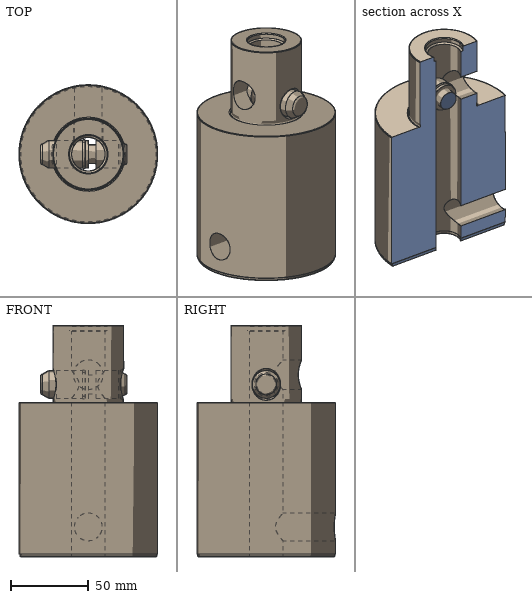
import cadquery as cq
import math

total_height = 150.0
drum_radius = 45.0
drum_top = 100.0
drum_edge_chamfer = 0.5
neck_radius = 23.0
neck_edge_chamfer = 0.5
bore_radius = 10.8
mouth_radius = 12.2
mouth_depth = 3.3
mouth_edge_chamfer = 0.6
bore_shoulder_height = 0.8

relief_depth = 0.3
relief_height = 2.2
relief_reach = 1.0
relief_lead = 2.0
relief_root_run = 0.6

neck_hole_radius = 9.6
neck_hole_height = 118.0
drum_hole_radius = 9.0
drum_hole_height = 19.5

plate_radius = 44.4
plate_thickness = 2.0
plate_chamfer = 0.6

pin_height = 111.8
pin_radius = 9.0
pin_left = -30.9
pin_right = 25.0
pin_tip_radius = 5.1
pin_tip_length = 1.4
pin_cone_radius = 6.8
pin_cone_length = 3.3
pin_shoulder_length = 0.9
pin_shoulder_drop = 0.3

pin_hole_flare = 1.4
pin_hole_flare_depth = 2.4

release_radius = 6.2
release_start = 0.0
release_width = 5.0
release_root_fillet = 0.5

o_ring_outer_radius = 9.5
o_ring_section_radius = 0.9
o_ring_position = -2.8


def radial_hole(radius, height):
    """Cylinder from the Z axis out through the +Y side."""
    return cq.Workplane("XZ", origin=(0, 0, height)).circle(radius).extrude(-drum_radius)


def make_housing():
    side_plane = cq.Plane(origin=(0, 0, 0), xDir=(-1, 0, 0), normal=(0, 1, 0))
    neck_relief_radius = neck_radius - relief_depth
    relief_floor = drum_top - relief_depth
    cone_top = drum_top + relief_height
    root_start = (neck_relief_radius, cone_top - relief_lead)
    root_end = (neck_relief_radius + relief_root_run, relief_floor)
    root_height = root_start[1] - relief_floor
    root_mid = (
        root_end[0] - relief_root_run * math.sqrt(0.5),
        root_start[1] - root_height * math.sqrt(0.5),
    )
    mouth_bottom = total_height - mouth_depth
    profile = (
        cq.Workplane(side_plane)
        .moveTo(bore_radius, plate_thickness)
        .lineTo(drum_radius, plate_thickness)
        .lineTo(drum_radius, drum_top - drum_edge_chamfer)
        .lineTo(drum_radius - drum_edge_chamfer, drum_top)
        .lineTo(neck_radius + relief_reach, drum_top)
        .lineTo(*root_end)
        .threePointArc(root_mid, root_start)
        .lineTo(neck_radius, cone_top)
        .lineTo(neck_radius, total_height - neck_edge_chamfer)
        .lineTo(neck_radius - neck_edge_chamfer, total_height)
        .lineTo(mouth_radius + mouth_edge_chamfer, total_height)
        .lineTo(mouth_radius, total_height - mouth_edge_chamfer)
        .lineTo(mouth_radius, mouth_bottom)
        .lineTo(bore_radius, mouth_bottom - bore_shoulder_height)
        .close()
    )
    housing = profile.revolve(360, (0, 0, 0), (0, 1, 0))
    housing = housing.cut(radial_hole(neck_hole_radius, neck_hole_height))
    housing = housing.cut(radial_hole(drum_hole_radius, drum_hole_height))
    return housing.cut(make_pin_hole())


def make_pin_hole():
    """Cross hole for the pin, flared where it leaves the neck on either side."""
    flare_radius = pin_radius + pin_hole_flare
    flare_inner = neck_radius - pin_hole_flare_depth
    return (
        cq.Workplane("XY", origin=(0, 0, pin_height))
        .moveTo(-neck_radius, 0)
        .lineTo(-neck_radius, flare_radius)
        .lineTo(-flare_inner, pin_radius)
        .lineTo(flare_inner, pin_radius)
        .lineTo(neck_radius, flare_radius)
        .lineTo(neck_radius, 0)
        .close()
        .revolve(360, (0, 0, 0), (1, 0, 0))
    )


def make_base_plate():
    plate = cq.Workplane("XY").circle(plate_radius).extrude(plate_thickness)
    plate = plate.faces("<Z").edges().chamfer(plate_chamfer)
    return plate.cut(cq.Workplane("XY").circle(bore_radius).extrude(plate_thickness))


def make_release_groove():
    """Ring to cut from the pin, with its inner corners rounded."""
    return (
        cq.Workplane("YZ", origin=(release_start, 0, pin_height))
        .circle(pin_radius)
        .circle(release_radius)
        .extrude(release_width)
        .edges(cq.selectors.RadiusNthSelector(0))
        .fillet(release_root_fillet)
    )


def make_o_ring():
    return (
        cq.Workplane("XZ", origin=(0, 0, pin_height))
        .moveTo(o_ring_position, o_ring_outer_radius - o_ring_section_radius)
        .circle(o_ring_section_radius)
        .revolve(360, (0, 0, 0), (1, 0, 0))
    )


def make_pin():
    cone_start = pin_tip_length
    cone_end = cone_start + pin_cone_length
    shoulder_end = cone_end + pin_shoulder_length
    shoulder_radius = pin_radius - pin_shoulder_drop
    tip_mid = (
        pin_tip_length * (1 - math.sqrt(0.5)),
        pin_tip_radius + (pin_cone_radius - pin_tip_radius) * math.sqrt(0.5),
    )
    pin = (
        cq.Workplane("XZ", origin=(0, 0, pin_height))
        .moveTo(pin_left, 0)
        .lineTo(pin_left, pin_tip_radius)
        .threePointArc((pin_left + tip_mid[0], tip_mid[1]), (pin_left + cone_start, pin_cone_radius))
        .lineTo(pin_left + cone_end, shoulder_radius)
        .lineTo(pin_left + shoulder_end, pin_radius)
        .lineTo(pin_right - shoulder_end, pin_radius)
        .lineTo(pin_right - cone_end, shoulder_radius)
        .lineTo(pin_right - cone_start, pin_cone_radius)
        .threePointArc((pin_right - tip_mid[0], tip_mid[1]), (pin_right, pin_tip_radius))
        .lineTo(pin_right, 0)
        .close()
        .revolve(360, (0, 0, 0), (1, 0, 0))
    )
    return pin.cut(make_release_groove()).cut(make_o_ring())


housing = make_housing()
base_plate = make_base_plate()
pin = make_pin()
o_ring = make_o_ring()

result = cq.Compound.makeCompound([housing.val(), base_plate.val(), pin.val(), o_ring.val()])